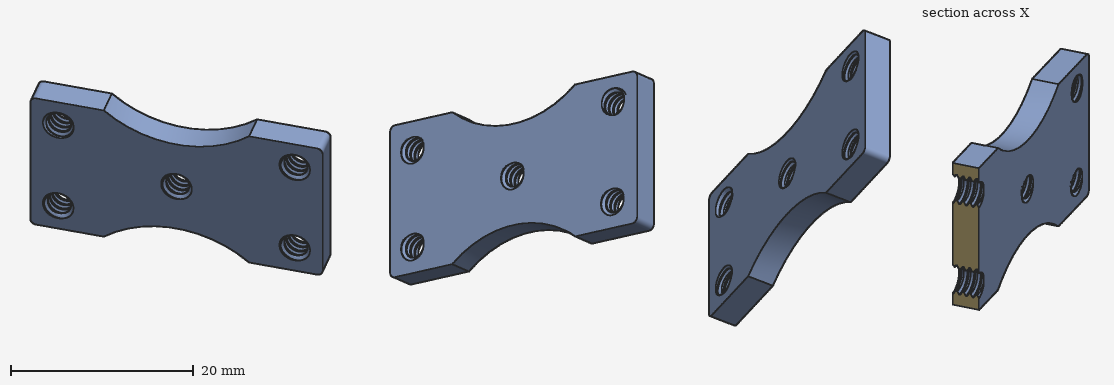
import cadquery as cq
import math

length = 33.3
height = 17.5
thickness = 3.15
corner_radius = 0.65

scallop_width = 16.55
neck_height = 11.65

hole_spacing_x = 26.93
hole_spacing_z = 11.15
thread_start_angle = 60.0
upper_left_start_angle = 300.0

major_diameter = 3.5
minor_diameter = 2.7
pitch = 0.8
flank_angle = 30.0
root_flat = pitch / 8
major_radius = major_diameter / 2
minor_radius = minor_diameter / 2

countersink_radius = major_radius
countersink_tip_radius = 1.0


def make_plate():
    """Rounded rectangle centred on the origin, scalloped above and below."""
    plate = cq.Workplane("XY").box(length, thickness, height).edges("|Y").fillet(corner_radius)
    depth = (height - neck_height) / 2
    radius = (depth**2 + (scallop_width / 2) ** 2) / (2 * depth)
    centre_z = neck_height / 2 + radius
    scallops = (
        cq.Workplane("XZ")
        .pushPoints([(0, centre_z), (0, -centre_z)])
        .circle(radius)
        .extrude(thickness / 2, both=True)
    )
    return plate.cut(scallops)


def helix_turn(radius, start):
    """One turn of the thread helix about Z, beginning at height start."""
    return cq.Wire.makeHelix(pitch, pitch, radius).moved(cq.Location(cq.Vector(0, 0, start)))


def make_threaded_rod():
    """Threaded rod on the Y axis, longer than the plate is thick, which leaves a tapped hole."""
    half_root = root_flat / 2
    half_mouth = half_root + (major_radius - minor_radius) * math.tan(math.radians(flank_angle))
    profile = [
        (minor_radius, -half_mouth),
        (major_radius, -half_root),
        (major_radius, half_root),
        (minor_radius, half_mouth),
        (minor_radius, pitch - half_mouth),
    ]
    turns = 2 * math.ceil(thickness / pitch / 2 + 1)

    faces = []
    for turn in range(turns):
        rise = turn * pitch
        for (radius_a, height_a), (radius_b, height_b) in zip(profile, profile[1:]):
            lower = helix_turn(radius_a, height_a + rise)
            upper = helix_turn(radius_b, height_b + rise)
            faces.append(cq.Face.makeRuledSurface(lower, upper))

    for rise in (0, turns * pitch):
        bottom = cq.Vector(0, 0, rise - half_mouth)
        top = bottom + cq.Vector(0, 0, pitch)
        step_edge = [cq.Vector(radius, 0, z + rise) for radius, z in profile]
        step = cq.Wire.makePolygon([bottom] + step_edge + [top], close=True)
        faces.append(cq.Face.makeFromWires(step))
        axis = cq.Wire.assembleEdges([cq.Edge.makeLine(bottom, top)])
        faces.append(cq.Face.makeRuledSurface(axis, helix_turn(minor_radius, bottom.z)))

    rod = cq.Workplane(cq.Solid.makeSolid(cq.Shell.makeShell(faces)))
    return rod.translate((0, 0, -turns * pitch / 2)).rotate((0, 0, 0), (1, 0, 0), 90)


def make_countersink():
    """Truncated cone on the Y axis, opening onto the -Y face."""
    face_y = -thickness / 2
    tip_y = face_y + countersink_radius - countersink_tip_radius
    return (
        cq.Workplane("YZ")
        .polyline([(face_y, 0), (face_y, countersink_radius), (tip_y, countersink_tip_radius), (tip_y, 0)])
        .close()
        .revolve(360, (0, 0, 0), (1, 0, 0))
    )


hole_x = hole_spacing_x / 2
hole_z = hole_spacing_z / 2
holes = [
    (0, 0, thread_start_angle),
    (-hole_x, hole_z, upper_left_start_angle),
    (hole_x, hole_z, thread_start_angle),
    (-hole_x, -hole_z, thread_start_angle),
    (hole_x, -hole_z, thread_start_angle),
]

result = make_plate()
threaded_rod = make_threaded_rod()
countersink = make_countersink()
for x, z, start_angle in holes:
    turned_rod = threaded_rod.rotate((0, 0, 0), (0, 1, 0), start_angle)
    result = result.cut(countersink.translate((x, 0, z)))
    result = result.cut(turned_rod.translate((x, 0, z)))